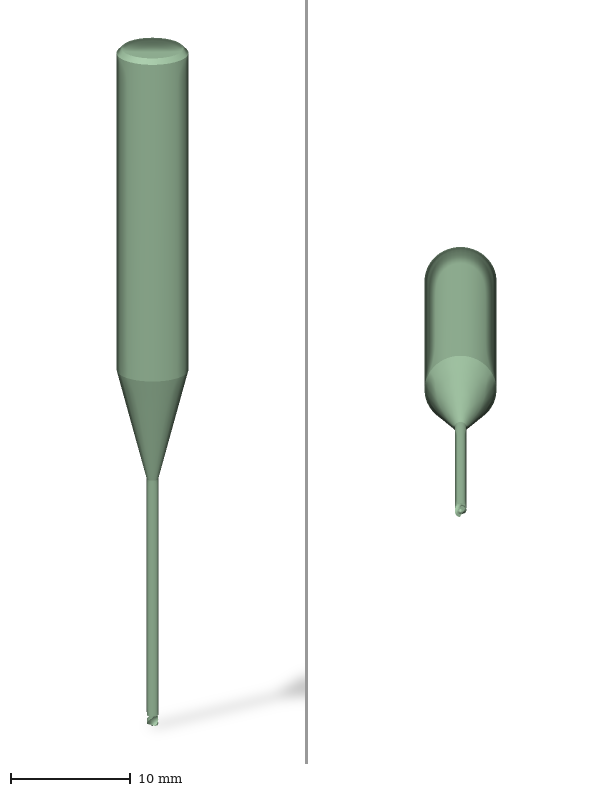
import cadquery as cq
import math

total_length = 60.0
shank_start = 31.55
taper_start = 21.9
head_length = 1.25

shank_radius = 3.0
shank_chamfer = 0.4
neck_radius = 0.5

collar_length = 0.25
blade_thickness = 0.4
blade_twist = 115.0
point_height = 0.2
collar_start = head_length - collar_length


def make_holder():
    """Shank, taper and neck revolved about the tool axis."""
    return (
        cq.Workplane("XZ")
        .moveTo(0, head_length)
        .lineTo(neck_radius, head_length)
        .lineTo(neck_radius, taper_start)
        .lineTo(shank_radius, shank_start)
        .lineTo(shank_radius, total_length - shank_chamfer)
        .lineTo(shank_radius - shank_chamfer, total_length)
        .lineTo(0, total_length)
        .close()
        .revolve(360, (0, 0, 0), (0, 1, 0))
    )


def make_blade():
    """Right-hand twisted flat blade with round edges, wide along X at its lower end."""
    half_thickness = blade_thickness / 2
    edge_x = math.sqrt(neck_radius**2 - half_thickness**2)
    return (
        cq.Workplane("XY")
        .workplane(offset=point_height)
        .moveTo(-edge_x, -half_thickness)
        .lineTo(edge_x, -half_thickness)
        .threePointArc((neck_radius, 0), (edge_x, half_thickness))
        .lineTo(-edge_x, half_thickness)
        .threePointArc((-neck_radius, 0), (-edge_x, -half_thickness))
        .close()
        .twistExtrude(collar_start - point_height, blade_twist)
    )


def make_point():
    """Small cone under the blade, as wide as the blade is thick."""
    return (
        cq.Workplane("XZ")
        .lineTo(blade_thickness / 2, point_height)
        .lineTo(0, point_height)
        .close()
        .revolve(360, (0, 0, 0), (0, 1, 0))
    )


def make_cutting_head():
    """Blade joined to its collar above and its point below."""
    collar = cq.Workplane("XY").workplane(offset=collar_start).circle(neck_radius).extrude(collar_length)
    return collar.union(make_blade()).union(make_point())


holder = make_holder()
cutting_head = make_cutting_head()

result = cq.Compound.makeCompound([holder.val(), *cutting_head.solids().vals()])